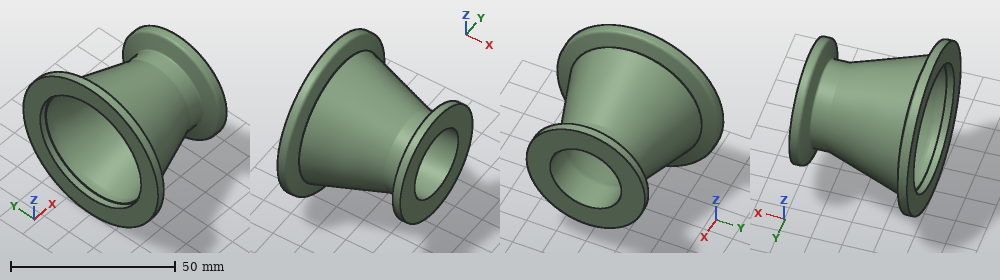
import cadquery as cq
import math

length = 40.0
large_flange_radius = 27.5
small_flange_radius = 20.0
flange_edge_thickness = 3.0
flange_back_angle = 15.0

wall = 2.0
large_tube_radius = 22.3
small_tube_radius = 14.0
cone_start = 4.55
cone_end = 30.05

large_bore_radius = 20.2
bore_cone_start = 4.8

seat_radius = 20.55
seat_depth = 2.35

rim_round = 1.0
neck_round = 0.5
tight_bend = 1.0
wide_bend = tight_bend + wall

back_slope = math.tan(math.radians(flange_back_angle))
large_back_end = flange_edge_thickness + (large_flange_radius - large_tube_radius) * back_slope
small_edge_start = length - flange_edge_thickness
small_back_end = small_edge_start - (small_flange_radius - small_tube_radius) * back_slope

small_bore_radius = small_tube_radius - wall

cone_angle = math.atan2(large_tube_radius - small_tube_radius, cone_end - cone_start)
small_bend_shift = wall * math.tan(cone_angle / 2)
bore_cone_end = cone_end - small_bend_shift

outside = [
    (0, large_flange_radius),
    (flange_edge_thickness, large_flange_radius),
    (large_back_end, large_tube_radius),
    (cone_start, large_tube_radius),
    (cone_end, small_tube_radius),
    (small_back_end, small_tube_radius),
    (small_edge_start, small_flange_radius),
    (length, small_flange_radius),
]
bore = [
    (length, small_bore_radius),
    (bore_cone_end, small_bore_radius),
    (bore_cone_start, large_bore_radius),
    (seat_depth, large_bore_radius),
    (seat_depth, seat_radius),
    (0, seat_radius),
]
body = cq.Workplane("XZ").polyline(outside + bore).close().revolve(360, (0, 0, 0), (1, 0, 0))


def round_circle(solid, position, circle_radius, round_radius):
    """Fillet the circular edge at the given X position and radius."""
    tolerance = 0.005
    edges = solid.edges("%CIRCLE").filter(
        lambda edge: abs(edge.Center().x - position) < tolerance
        and abs(edge.radius() - circle_radius) < tolerance
    )
    return edges.fillet(round_radius)


body = round_circle(body, flange_edge_thickness, large_flange_radius, rim_round)
body = round_circle(body, small_edge_start, small_flange_radius, rim_round)
body = round_circle(body, small_back_end, small_tube_radius, neck_round)
body = round_circle(body, cone_end, small_tube_radius, tight_bend)
body = round_circle(body, bore_cone_end, small_bore_radius, wide_bend)
body = round_circle(body, bore_cone_start, large_bore_radius, wide_bend)

result = body